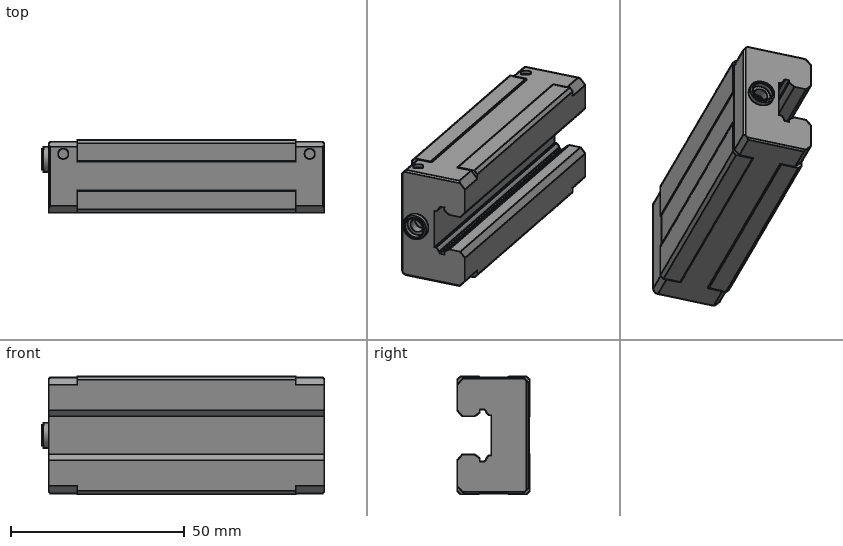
import cadquery as cq

depth = 21.0
half_height = 17.0

body_length = 63.0
cap_length = 8.2
block_length = body_length + 2 * cap_length

body_chamfer = 1.0
side_recess = 0.25
pad_ramp = 0.3
front_pad_width = 6.5
back_pad_width = 6.3
back_recess_depth = 0.25
back_recess_half_height = 5.45

cap_half_height = half_height - side_recess
cap_depth = depth - 0.5
cap_front_chamfer_y = 2.0
cap_front_chamfer_z = 2.2
cap_back_chamfer = 1.5
cap_end_chamfer = 0.5

lip_half_height = 5.5
mouth_depth = 1.5
mouth_half_height = 7.2
slot_depth = 9.8
slot_floor_half_height = 5.75
lip_end_y = 5.05
lip_flank_mid = (5.9, 6.05)
floor_flank_start_y = 9.2
floor_flank_mid = (8.7, 6.25)
groove_front_y = 6.6
groove_front_half_height = 6.7
groove_back_y = 8.3
groove_back_half_height = 6.85
groove_half_height = 7.45
groove_corner = 0.4

port_y = 15.4
port_flange_diameter = 7.4
port_flange_length = 1.5
port_lip_diameter = 6.1
port_lip_length = 0.5
port_bore_diameter = 4.0
port_bore_depth = 3.0
port_counterbore_diameter = 5.9
port_counterbore_depth = port_flange_length + port_lip_length

cap_hole_diameter = 3.0
cap_hole_depth = 1.0
cap_hole_y = 17.0
cap_hole_inset = 4.2


def slot_half(side):
    """Half of the rail slot, closed on the mid-plane; side is +1 (up) or -1 (down)."""

    def at(y, height):
        return (y, side * height)

    return (
        cq.Workplane("YZ")
        .moveTo(0, 0)
        .lineTo(*at(0, mouth_half_height))
        .lineTo(*at(mouth_depth, lip_half_height))
        .lineTo(*at(lip_end_y, lip_half_height))
        .threePointArc(at(*lip_flank_mid), at(groove_front_y, groove_front_half_height))
        .lineTo(*at(groove_front_y, groove_half_height))
        .lineTo(*at(groove_back_y - groove_corner, groove_half_height))
        .lineTo(*at(groove_back_y, groove_half_height - groove_corner))
        .lineTo(*at(groove_back_y, groove_back_half_height))
        .threePointArc(at(*floor_flank_mid), at(floor_flank_start_y, slot_floor_half_height))
        .lineTo(*at(slot_depth, slot_floor_half_height))
        .lineTo(slot_depth, 0)
        .close()
        .extrude(block_length)
    )


def side_channel(side):
    """Shallow channel with sloped flanks between the two pads of one side face."""
    floor_z = side * cap_half_height
    face_z = side * half_height
    back_pad_edge = depth - back_pad_width
    return (
        cq.Workplane("YZ", origin=(cap_length, 0, 0))
        .polyline([
            (front_pad_width, floor_z),
            (back_pad_edge, floor_z),
            (back_pad_edge + pad_ramp, face_z),
            (front_pad_width - pad_ramp, face_z),
        ])
        .close()
        .extrude(body_length)
    )


def make_body():
    body = (
        cq.Workplane("XY")
        .box(body_length, depth, 2 * half_height, centered=(False, False, True))
        .edges("|X")
        .chamfer(body_chamfer)
        .translate((cap_length, 0, 0))
    )
    back_channel = (
        cq.Workplane("XY")
        .box(body_length, back_recess_depth, 2 * back_recess_half_height, centered=(False, False, True))
        .translate((cap_length, depth - back_recess_depth, 0))
    )
    return body.cut(side_channel(1)).cut(side_channel(-1)).cut(back_channel)


def make_cap_bar():
    """Bar of end-cap section over the full block length; its two ends form the caps."""
    section = (
        cq.Workplane("YZ")
        .moveTo(0, cap_half_height - cap_front_chamfer_z)
        .lineTo(cap_front_chamfer_y, cap_half_height)
        .lineTo(cap_depth - cap_back_chamfer, cap_half_height)
        .lineTo(cap_depth, cap_half_height - cap_back_chamfer)
        .lineTo(cap_depth, cap_back_chamfer - cap_half_height)
        .lineTo(cap_depth - cap_back_chamfer, -cap_half_height)
        .lineTo(cap_front_chamfer_y, -cap_half_height)
        .lineTo(0, cap_front_chamfer_z - cap_half_height)
        .close()
        .extrude(block_length)
    )
    bevelled_envelope = (
        cq.Workplane("XY")
        .box(block_length, cap_depth, 2 * cap_half_height, centered=(False, False, True))
        .faces("<X or >X")
        .edges("|Y or >Y")
        .chamfer(cap_end_chamfer)
    )
    return section.intersect(bevelled_envelope)


def make_cap_holes():
    return (
        cq.Workplane("XY", origin=(0, cap_hole_y, cap_half_height))
        .pushPoints([(cap_hole_inset, 0), (block_length - cap_hole_inset, 0)])
        .circle(cap_hole_diameter / 2)
        .extrude(-cap_hole_depth)
    )


def cylinder_along_x(diameter, start_x, end_x):
    """Cylinder on the port axis between two X positions."""
    return (
        cq.Workplane("YZ", origin=(start_x, port_y, 0))
        .circle(diameter / 2)
        .extrude(end_x - start_x)
    )


def add_port(block):
    """Add the stepped round port on the -X end and open its counterbored hole."""
    tip_x = -port_flange_length - port_lip_length
    floor_x = tip_x + port_counterbore_depth
    flange = cylinder_along_x(port_flange_diameter, -port_flange_length, 0)
    lip = cylinder_along_x(port_lip_diameter, tip_x, 0)
    counterbore = cylinder_along_x(port_counterbore_diameter, tip_x, floor_x)
    bore = cylinder_along_x(port_bore_diameter, tip_x, floor_x + port_bore_depth)
    return block.union(flange).union(lip).cut(counterbore).cut(bore)


def make_block():
    middle = (
        cq.Workplane("XY")
        .box(body_length, depth, 2 * half_height, centered=(False, False, True))
        .translate((cap_length, 0, 0))
    )
    end_caps = make_cap_bar().cut(middle)
    block = make_body().union(end_caps)
    for side in (1, -1):
        block = block.cut(slot_half(side))
    return block.cut(make_cap_holes())


result = add_port(make_block())